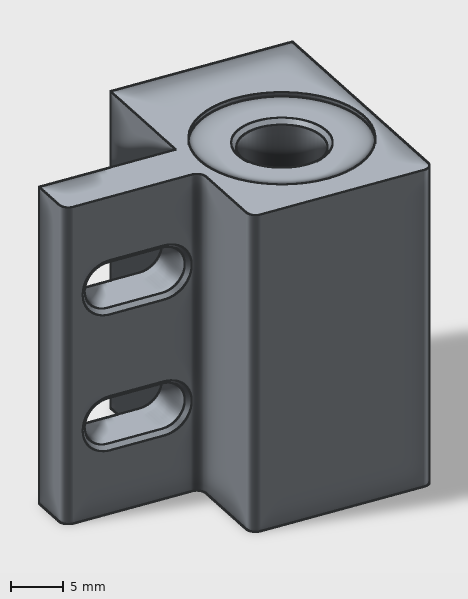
import cadquery as cq

height = 35.0
total_depth = 35.0
block_width = 28.0

block_depth = 20.0
tab_length = total_depth - block_depth
tab_left = 13.0
tab_thickness = 5.0
tab_right = tab_left + tab_thickness
corner_radius = 1.0

bore_x = 16.0
bore_y = tab_length + block_depth / 2
bore_diameter = 8.8
bore_chamfer = 0.5
recess_diameter = 18.0
recess_depth = 0.5

slot_length = 11.0
slot_height = 5.0
slot_y = 8.0
slot_spacing = 15.0
slot_chamfer = 0.5


def body():
    """Block with the tab hanging from its -Y face, right-hand corners rounded."""
    block = (
        cq.Workplane("XY")
        .box(block_width, block_depth, height, centered=False)
        .translate((0, tab_length, 0))
    )
    tab = (
        cq.Workplane("XY")
        .box(tab_thickness, total_depth - block_depth / 2, height, centered=False)
        .translate((tab_left, 0, 0))
    )
    rounded_corners = [
        (block_width, total_depth),
        (block_width, tab_length),
        (tab_right, tab_length),
        (tab_right, 0),
    ]
    solid = block.union(tab)
    for x, y in rounded_corners:
        edge = cq.selectors.NearestToPointSelector((x, y, height / 2))
        solid = solid.edges("|Z").edges(edge).fillet(corner_radius)
    return solid


def bore_cutter():
    """Through bore, chamfered at the recess floor, plus the recess itself."""
    recess_floor = height - recess_depth
    mouth_diameter = bore_diameter + 2 * bore_chamfer
    bore = cq.Workplane("XY").circle(bore_diameter / 2).extrude(height)
    recess = (
        cq.Workplane("XY", origin=(0, 0, recess_floor))
        .circle(recess_diameter / 2)
        .extrude(recess_depth)
    )
    chamfer = (
        cq.Workplane("XY", origin=(0, 0, recess_floor - bore_chamfer))
        .circle(bore_diameter / 2)
        .workplane(offset=bore_chamfer)
        .circle(mouth_diameter / 2)
        .loft()
    )
    return bore.union(chamfer).union(recess).translate((bore_x, bore_y, 0))


def slot_cutter(z):
    """Round-ended slot along Y through the tab, its rim chamfered on the +X face."""
    slot = (
        cq.Workplane("YZ", origin=(tab_left, slot_y, z))
        .slot2D(slot_length, slot_height)
        .extrude(tab_thickness)
    )
    rim_chamfer = (
        cq.Workplane("YZ", origin=(tab_right, slot_y, z))
        .slot2D(slot_length + 2 * slot_chamfer, slot_height + 2 * slot_chamfer)
        .extrude(-slot_chamfer, taper=45)
    )
    return slot.union(rim_chamfer)


result = body().cut(bore_cutter())
for side in (-1, 1):
    result = result.cut(slot_cutter(height / 2 + side * slot_spacing / 2))